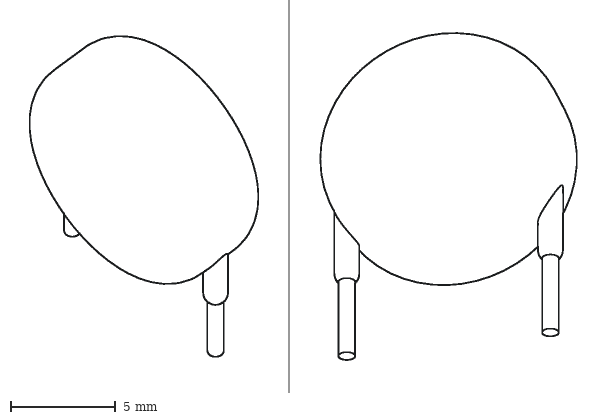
import cadquery as cq
import math

disc_diameter = 12.0
disc_thickness = disc_diameter / 2
disc_edge_radius = disc_thickness / 3

lead_diameter = 0.8
lead_spacing = 10.0
lead_free_length = 4.0
sleeve_diameter = 1.2

disc_center_height = lead_free_length + disc_diameter / 2
dome_height = math.sqrt((sleeve_diameter / 2) ** 2 - (lead_diameter / 2) ** 2)
dome_center_height = lead_free_length + dome_height


def make_disc():
    """Disc with a horizontal axis along Y and both rims rounded."""
    return (
        cq.Workplane("XZ", origin=(0, disc_thickness / 2, disc_center_height))
        .circle(disc_diameter / 2)
        .extrude(disc_thickness)
        .edges("%CIRCLE")
        .fillet(disc_edge_radius)
    )


def vertical_rod(x, diameter, bottom):
    """Rod from the given bottom up to the disc's centre height, where its top is inside the disc."""
    return (
        cq.Workplane("XY", origin=(x, 0, bottom))
        .circle(diameter / 2)
        .extrude(disc_center_height - bottom)
    )


def make_lead(x, disc):
    """Wire lead that runs through its sleeve and ends on the rim of the disc."""
    return vertical_rod(x, lead_diameter, 0).cut(disc)


def make_sleeve(x, disc):
    """Sleeve with a domed lower end, bored for the lead and ending on the rim of the disc."""
    barrel = vertical_rod(x, sleeve_diameter, dome_center_height)
    dome = cq.Workplane("XY", origin=(x, 0, dome_center_height)).sphere(sleeve_diameter / 2)
    bore = vertical_rod(x, lead_diameter, 0)
    return barrel.union(dome).cut(bore).cut(disc)


disc = make_disc()
leads = []
sleeves = []
for side in (-1, 1):
    lead_x = side * lead_spacing / 2
    leads.append(make_lead(lead_x, disc).val())
    sleeves.append(make_sleeve(lead_x, disc).val())

result = cq.Compound.makeCompound([disc.val(), *leads, *sleeves])